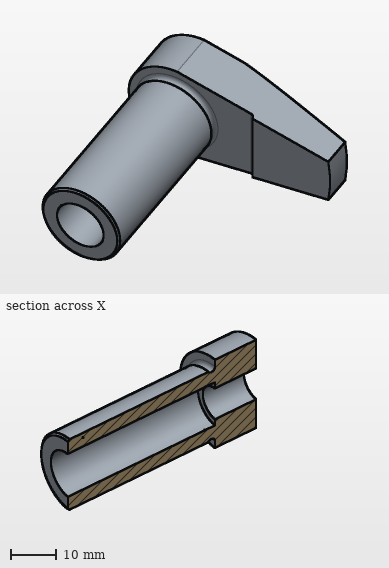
import cadquery as cq
import math

TOTAL_LENGTH = 52.5
HEAD_RADIUS = 12.5
HEAD_THICKNESS = 11.5
TIP_RADIUS = 40.0
TIP_HALF_HEIGHT = 6.0

PAD_START = 20.0
PAD_HEIGHT = 1.0

BACK_TAPER_START = 15.0
BACK_TAPER_ANGLE = 12.0

SHAFT_DIAMETER = 20.0
SHAFT_CHAMFER = 0.45
GROOVE_RADIUS = 1.0
GROOVE_DEPTH = 0.45

BORE_DIAMETER = 8.6
COUNTERBORE_DIAMETER = 12.0

CUT_MARGIN = 0.5

SHAFT_RADIUS = SHAFT_DIAMETER / 2
PAD_FACE = -(HEAD_THICKNESS + PAD_HEIGHT)


def make_arm():
    """Round head and tapered arm, including the clamping pad thickness."""
    tip_x = math.sqrt(TIP_RADIUS**2 - TIP_HALF_HEIGHT**2)
    return (
        cq.Workplane("XZ")
        .moveTo(0, HEAD_RADIUS)
        .lineTo(tip_x, TIP_HALF_HEIGHT)
        .threePointArc((TIP_RADIUS, 0), (tip_x, -TIP_HALF_HEIGHT))
        .lineTo(0, -HEAD_RADIUS)
        .threePointArc((-HEAD_RADIUS, 0), (0, HEAD_RADIUS))
        .close()
        .extrude(-PAD_FACE)
    )


def make_pad_relief():
    """Material removed beside the pad, leaving a concave quarter-round step."""
    diagonal = PAD_HEIGHT * math.sqrt(0.5)
    arc_center_x = PAD_START - PAD_HEIGHT
    return (
        cq.Workplane("XY")
        .moveTo(-HEAD_RADIUS, -HEAD_THICKNESS)
        .lineTo(arc_center_x, -HEAD_THICKNESS)
        .threePointArc(
            (arc_center_x + diagonal, PAD_FACE + diagonal),
            (PAD_START, PAD_FACE),
        )
        .lineTo(-HEAD_RADIUS, PAD_FACE)
        .close()
        .extrude(HEAD_RADIUS, both=True)
    )


def make_back_taper():
    """Ring that cuts the back of the arm to a cone about the bore axis."""
    outer_radius = TIP_RADIUS + CUT_MARGIN
    drop = (outer_radius - BACK_TAPER_START) * math.tan(math.radians(BACK_TAPER_ANGLE))
    return (
        cq.Workplane("XY")
        .moveTo(BACK_TAPER_START, 0)
        .lineTo(outer_radius, 0)
        .lineTo(outer_radius, -drop)
        .close()
        .revolve(360, (0, 0), (0, 1))
    )


def make_shaft():
    """Shaft with a chamfered end and a rounded relief groove under the head."""
    neck_radius = SHAFT_RADIUS - GROOVE_DEPTH
    groove_center_radius = neck_radius + GROOVE_RADIUS
    groove_center_y = -HEAD_THICKNESS - GROOVE_RADIUS
    exit_offset = math.sqrt(GROOVE_RADIUS**2 - (groove_center_radius - SHAFT_RADIUS) ** 2)
    return (
        cq.Workplane("XY")
        .moveTo(0, -HEAD_THICKNESS)
        .lineTo(groove_center_radius, -HEAD_THICKNESS)
        .threePointArc(
            (neck_radius, groove_center_y),
            (SHAFT_RADIUS, groove_center_y - exit_offset),
        )
        .lineTo(SHAFT_RADIUS, SHAFT_CHAMFER - TOTAL_LENGTH)
        .lineTo(SHAFT_RADIUS - SHAFT_CHAMFER, -TOTAL_LENGTH)
        .lineTo(0, -TOTAL_LENGTH)
        .close()
        .revolve(360, (0, 0), (0, 1))
    )


def make_bore():
    """Through bore, widened along the full length of the shaft."""
    bore = cq.Workplane("XZ").circle(BORE_DIAMETER / 2).extrude(TOTAL_LENGTH)
    counterbore = (
        cq.Workplane("XZ", origin=(0, -HEAD_THICKNESS, 0))
        .circle(COUNTERBORE_DIAMETER / 2)
        .extrude(TOTAL_LENGTH - HEAD_THICKNESS)
    )
    return bore.union(counterbore)


arm = make_arm().cut(make_pad_relief()).cut(make_back_taper())
result = arm.union(make_shaft()).cut(make_bore())